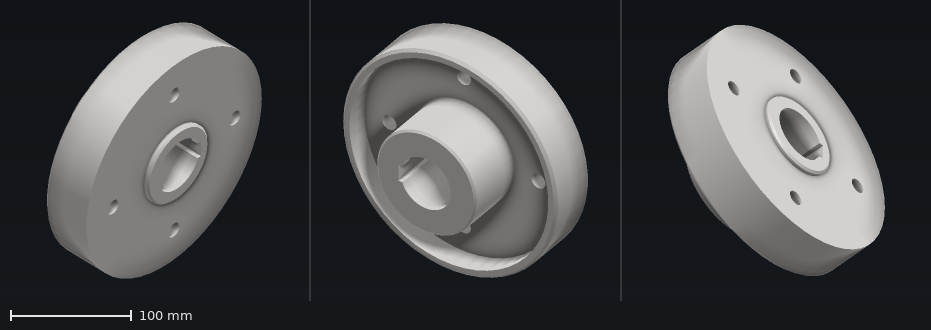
import cadquery as cq

rim_diameter = 216.0
rim_width = 46.5
rim_chamfer = 2.5

hub_diameter = 100.0
hub_overhang = 33.7
hub_chamfer = 2.0
hub_fillet = 2.0

recess_diameter = 200.0
recess_depth = 22.0

spigot_diameter = 75.0
spigot_length = 5.0
spigot_chamfer = 2.0

bore_diameter = 50.1
keyway_width = 16.0
keyway_reach = 27.6

bolt_count = 4
bolt_hole_diameter = 14.0
bolt_circle_diameter = 150.0

rim_front = hub_overhang
recess_floor = rim_front + recess_depth
rim_back = rim_front + rim_width
overall_length = rim_back + spigot_length


def disc(diameter, start, end):
    """Cylinder about the X axis between two stations."""
    return cq.Workplane("YZ", origin=(start, 0, 0)).circle(diameter / 2).extrude(end - start)


def make_flange():
    flange = disc(rim_diameter, rim_front, rim_back).faces("<X").edges().chamfer(rim_chamfer)
    return flange.cut(disc(recess_diameter, rim_front, recess_floor))


def make_hub():
    return disc(hub_diameter, 0, recess_floor).faces("<X").chamfer(hub_chamfer)


def make_spigot():
    return disc(spigot_diameter, rim_back, overall_length).faces(">X").chamfer(spigot_chamfer)


def make_keyed_bore():
    keyway = cq.Workplane("XY").box(
        overall_length, keyway_reach, keyway_width, centered=(False, False, True)
    )
    return disc(bore_diameter, 0, overall_length).union(keyway)


def make_bolt_holes():
    return (
        cq.Workplane("YZ", origin=(recess_floor, 0, 0))
        .polarArray(bolt_circle_diameter / 2, 0, 360, bolt_count)
        .circle(bolt_hole_diameter / 2)
        .extrude(rim_back - recess_floor)
    )


body = make_flange().union(make_hub()).union(make_spigot())

recess_floor_point = (recess_floor, 0, bolt_circle_diameter / 2)
floor_face = body.faces(cq.selectors.NearestToPointSelector(recess_floor_point))
body = floor_face.edges(cq.selectors.RadiusNthSelector(0)).fillet(hub_fillet)

result = body.cut(make_keyed_bore()).cut(make_bolt_holes())